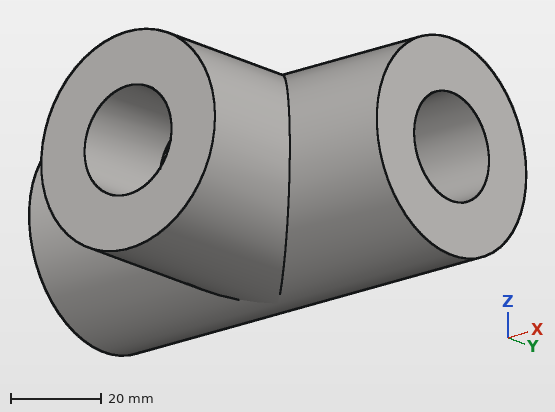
import cadquery as cq

run_length = 101.6
outer_diameter = run_length / 2
bore_diameter = outer_diameter / 2
branch_reach = run_length / 2
branch_droop = 0.33
branch_bore_depth = branch_reach / 2


def make_run(diameter):
    """Cylinder along X, centred on the origin."""
    return cq.Workplane("YZ").circle(diameter / 2).extrude(run_length / 2, both=True)


def make_branch(diameter, start, end):
    """Cylinder along the drooping branch axis, between two distances from the run axis."""
    straight = cq.Workplane("XZ", origin=(0, -start, 0)).circle(diameter / 2).extrude(end - start)
    return straight.rotate((0, 0, 0), (1, 0, 0), branch_droop)


body = make_run(outer_diameter).union(make_branch(outer_diameter, 0, branch_reach))

branch_bore_floor = branch_reach - branch_bore_depth
branch_bore = make_branch(bore_diameter, branch_bore_floor, branch_reach)
result = body.cut(make_run(bore_diameter)).cut(branch_bore)